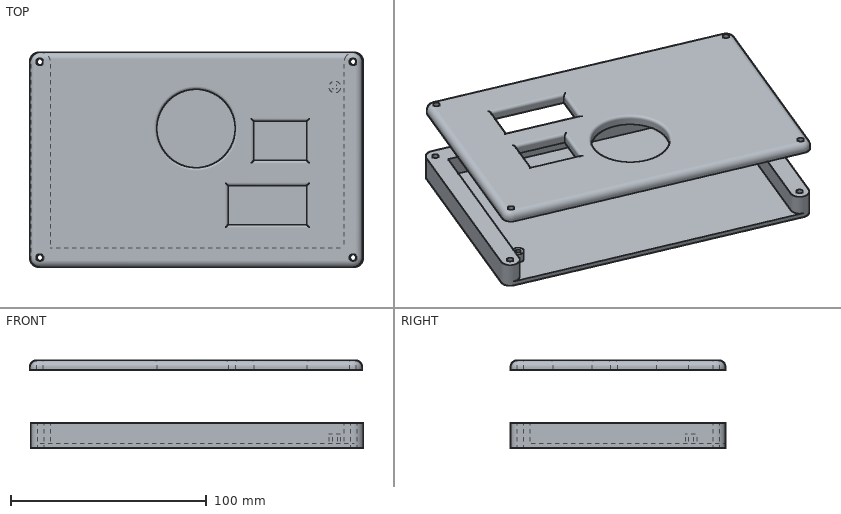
import cadquery as cq

LENGTH = 170.0
WIDTH = 110.0
CORNER_RADIUS = 5.0
SCREW_INSET = CORNER_RADIUS
SCREW_DIAMETER = 3.4

BASE_HEIGHT = 13.0
FLOOR_THICKNESS = 2.5
WALL_THICKNESS = 2 * CORNER_RADIUS

STANDOFF_X = 155.3
STANDOFF_Y = 92.2
STANDOFF_HEIGHT = 5.0
STANDOFF_DIAMETER = 6.0
STANDOFF_HOLE_DIAMETER = 2.5

OVERALL_LENGTH = 170.5
OVERALL_HEIGHT = 45.0
LID_THICKNESS = 5.1
LID_SHIFT = LENGTH - OVERALL_LENGTH
LID_BOTTOM = OVERALL_HEIGHT - LID_THICKNESS
LID_EDGE_RADIUS = 3.5

OPENING_EDGE_RADIUS = 1.5
DIAL_DIAMETER = 40.0
DIAL_X = LENGTH / 2
DIAL_Y = 71.0
WINDOW_RIGHT = 141.5
WINDOW_HEIGHT = 20.0
WINDOWS = [
    (27.0, 64.6),
    (40.0, 31.7),
]

SCREW_POINTS = [
    (x, y)
    for x in (SCREW_INSET, LENGTH - SCREW_INSET)
    for y in (SCREW_INSET, WIDTH - SCREW_INSET)
]


def rounded_plate(height):
    """Plate with rounded vertical corners, its -X -Y corner at the origin."""
    plate = cq.Workplane("XY").box(LENGTH, WIDTH, height, centered=False)
    return plate.edges("|Z").fillet(CORNER_RADIUS)


def screw_holes(diameter, height):
    return cq.Workplane("XY").pushPoints(SCREW_POINTS).circle(diameter / 2).extrude(height)


def tray_cavity():
    """Space above the floor, running out through the +Y side."""
    return (
        cq.Workplane("XY", origin=(WALL_THICKNESS, WALL_THICKNESS, FLOOR_THICKNESS))
        .box(LENGTH - 2 * WALL_THICKNESS, WIDTH, BASE_HEIGHT, centered=False)
    )


def wall_end_rounding(wall_inner_x, screw_x):
    """Material removed to turn the +Y end of a side wall into a half round about its screw."""
    screw_y = WIDTH - SCREW_INSET
    corner = (
        cq.Workplane("XY", origin=(0, 0, FLOOR_THICKNESS))
        .moveTo((wall_inner_x + screw_x) / 2, (screw_y + WIDTH) / 2)
        .rect(abs(wall_inner_x - screw_x), WIDTH - screw_y)
        .extrude(BASE_HEIGHT)
    )
    round_end = (
        cq.Workplane("XY").center(screw_x, screw_y).circle(CORNER_RADIUS).extrude(2 * BASE_HEIGHT)
    )
    return corner.cut(round_end)


def standoff():
    return (
        cq.Workplane("XY", origin=(STANDOFF_X, STANDOFF_Y, FLOOR_THICKNESS))
        .circle(STANDOFF_DIAMETER / 2)
        .circle(STANDOFF_HOLE_DIAMETER / 2)
        .extrude(STANDOFF_HEIGHT)
    )


def make_base():
    tray = rounded_plate(BASE_HEIGHT).cut(tray_cavity())
    tray = tray.cut(wall_end_rounding(WALL_THICKNESS, SCREW_INSET))
    tray = tray.cut(wall_end_rounding(LENGTH - WALL_THICKNESS, LENGTH - SCREW_INSET))
    tray = tray.union(standoff())
    return tray.cut(screw_holes(SCREW_DIAMETER, BASE_HEIGHT))


def cut_openings(plate):
    """Cut the dial hole and windows, then round their upper rims."""
    cutter = cq.Workplane("XY").center(DIAL_X, DIAL_Y).circle(DIAL_DIAMETER / 2).extrude(LID_THICKNESS)
    for length, centre_y in WINDOWS:
        window = (
            cq.Workplane("XY")
            .center(WINDOW_RIGHT - length / 2, centre_y)
            .rect(length, WINDOW_HEIGHT)
            .extrude(LID_THICKNESS)
        )
        cutter = cutter.union(window)
    rims = plate.cut(cutter).faces(">Z")
    inner_edges = [edge for wire in rims.val().innerWires() for edge in wire.Edges()]
    return rims.newObject(inner_edges).fillet(OPENING_EDGE_RADIUS)


def make_lid():
    plate = rounded_plate(LID_THICKNESS).faces(">Z").edges().fillet(LID_EDGE_RADIUS)
    plate = cut_openings(plate)
    plate = plate.cut(screw_holes(SCREW_DIAMETER, LID_THICKNESS))
    return plate.translate((LID_SHIFT, 0, LID_BOTTOM))


base = make_base()
lid = make_lid()
result = cq.Compound.makeCompound([base.val(), lid.val()])